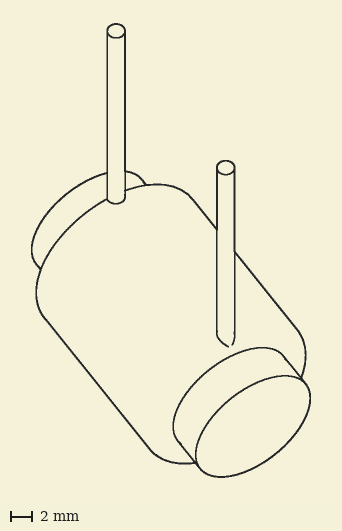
import cadquery as cq

core_length = 28.45
core_diameter = 12.5

coil_length = 20.64
coil_diameter = 17.53
coil_edge_radius = 1.25

wire_diameter = 1.65
overall_height = 42.16
lead_top = overall_height - coil_diameter / 2
lead_offset = (coil_length - wire_diameter) / 2


def cylinder_along_x(diameter, length):
    """Cylinder on the X axis, centred on the origin."""
    end_plane = cq.Workplane("YZ", origin=(-length / 2, 0, 0))
    return end_plane.circle(diameter / 2).extrude(length)


def make_coil():
    """Winding with rounded end edges."""
    return cylinder_along_x(coil_diameter, coil_length).edges("%CIRCLE").fillet(coil_edge_radius)


def make_lead(x):
    """Vertical wire whose lower end is buried in the coil, starting at the core axis."""
    return cq.Workplane("XY").center(x, 0).circle(wire_diameter / 2).extrude(lead_top)


result = cylinder_along_x(core_diameter, core_length).union(make_coil())
for side in (-1, 1):
    result = result.union(make_lead(side * lead_offset))